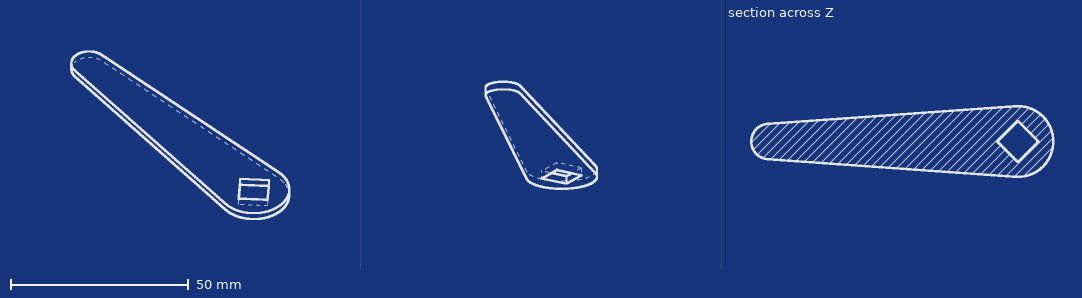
import cadquery as cq
import math

length = 85.0
thickness = 2.3
head_diameter = 20.0
tip_diameter = 10.0
square_side = 8.15

head_radius = head_diameter / 2
tip_radius = tip_diameter / 2
center_distance = length - head_radius - tip_radius

taper = math.asin((head_radius - tip_radius) / center_distance)


def tangent_point(center_x, radius):
    """Upper point where a straight edge meets an end arc centered on the X axis."""
    return center_x - radius * math.sin(taper), radius * math.cos(taper)


def handle_plate():
    """Flat tapered plate with the head centered on the origin and the tip toward -X."""
    head_x, head_y = tangent_point(0, head_radius)
    tip_x, tip_y = tangent_point(-center_distance, tip_radius)
    return (
        cq.Workplane("XY")
        .moveTo(tip_x, tip_y)
        .lineTo(head_x, head_y)
        .threePointArc((head_radius, 0), (head_x, -head_y))
        .lineTo(tip_x, -tip_y)
        .threePointArc((-center_distance - tip_radius, 0), (tip_x, tip_y))
        .close()
        .extrude(thickness)
    )


def square_hole():
    """Square drive hole through the head, with its corners on the X and Y axes."""
    return (
        cq.Workplane("XY")
        .rect(square_side, square_side)
        .extrude(thickness)
        .rotate((0, 0, 0), (0, 0, 1), 45)
    )


result = handle_plate().cut(square_hole())